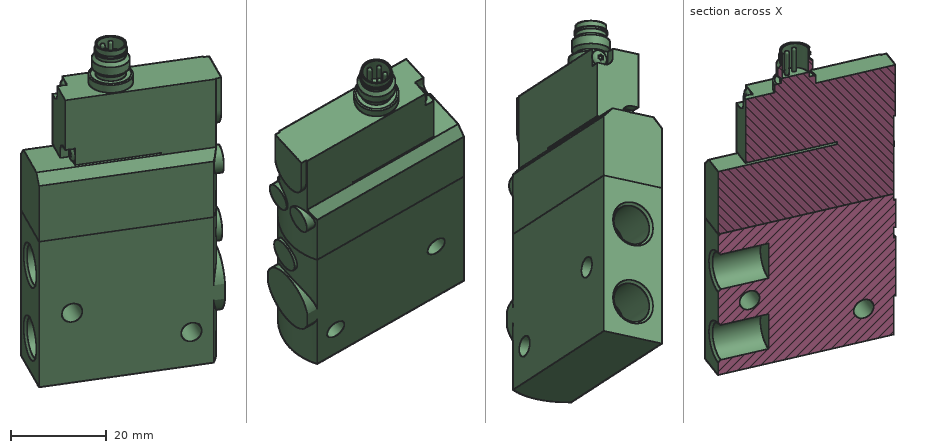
import cadquery as cq
import math

WIDTH = 14.0
SIDE_DEPTH = 37.9
REAR_DEPTH = 39.9
OVERALL_DEPTH = 40.4
PAD_DEPTH = 40.2
BOSS_ROOT = 37.65
OVERALL_HEIGHT = 76.2

BLOCK_HEIGHT = 35.05
PORT_HEIGHTS = (8.0, 25.5)
PORT_DIAMETER = 8.5
PORT_MOUTH_DIAMETER = 9.7
PORT_DEPTH = 11.4
MOUNT_DIAMETER = 4.4
MOUNT_CENTRES = ((7.2, 16.85), (33.1, 8.15))
LARGE_BOSS_DIAMETER = 14.5
LARGE_BOSS_HEIGHT = 16.85
SMALL_BOSS_DIAMETER = 7.3
SMALL_BOSS_X = 1.2
SMALL_BOSS_HEIGHT = 30.0

SHOULDER_TOP = 50.6
HEAD_WIDTH = 9.9
HEAD_TOP = 67.0
HEAD_FRONT = 6.25
SHOULDER_BEVEL_HEIGHT = 2.1
GAP_HEIGHT = 0.45
GAP_END = 27.05
PAD_WIDTH = 9.4
PAD_CENTRE_HEIGHT = 59.0
STUD_DIAMETER = 6.0
STUD_SPACING = 7.25
STUD_HEIGHT = 46.95

SCREW_DIAMETER = 3.6
SCREW_FLAT_DIAMETER = 1.7
SCREW_HEAD_HEIGHT = 0.7
SCREW_DOME_BULGE = 0.15
RECESS_DIAMETER = 4.1
RECESS_DEPTH = 2.1
SCREW_OFFSET_X = 3.3
SCREW_OFFSET_Z = 6.1
STAR_POINTS = 6
STAR_OUTER_RADIUS = 0.7
STAR_INNER_RADIUS = 0.45
STAR_DEPTH = 0.4

PLUG_Y = 17.5
FLANGE_DIAMETER = 9.4
FLANGE_TOP_DIAMETER = 8.5
FLANGE_TOP = 68.95
FLANGE_BEVEL_HEIGHT = 0.15
NECK_DIAMETER = 6.5
COLLAR_DIAMETER = 8.0
COLLAR_CONE_BOTTOM = 69.9
COLLAR_BOTTOM = 70.7
COLLAR_TOP = 72.7
COLLAR_CONE_TOP = 73.45
RIB_DIAMETER = 6.9
RIB_BOTTOM = 74.4
RIB_TOP = 74.9
SOCKET_DIAMETER = 5.8
SOCKET_MOUTH_DIAMETER = 6.0
SOCKET_DEPTH = 6.1
PIN_DIAMETER = 1.0
PIN_TIP_RADIUS = 0.45
PIN_TOP = 75.75
PIN_CENTRES = ((-1.75, 0.45), (1.75, 0.45), (-1.1, -1.45), (1.1, -1.45))


def bowed_prism(bottom, top):
    """Full-width prism with a rear face that bows outward."""
    return (
        cq.Workplane("XY", origin=(0, 0, bottom))
        .moveTo(-WIDTH / 2, 0)
        .lineTo(WIDTH / 2, 0)
        .lineTo(WIDTH / 2, SIDE_DEPTH)
        .threePointArc((0, REAR_DEPTH), (-WIDTH / 2, SIDE_DEPTH))
        .close()
        .extrude(top - bottom)
    )


def box(x_range, y_range, z_range):
    """Box between the given limits on each axis."""
    sizes = [high - low for low, high in (x_range, y_range, z_range)]
    corner = (x_range[0], y_range[0], z_range[0])
    return cq.Workplane("XY", origin=corner).box(*sizes, centered=False)


def y_cylinder(x, z, diameter, start, end):
    """Cylinder along Y."""
    return cq.Workplane("XZ", origin=(x, start, z)).circle(diameter / 2).extrude(start - end)


def z_cylinder(x, y, diameter, bottom, top):
    """Cylinder along Z."""
    return cq.Workplane("XY", origin=(x, y, bottom)).circle(diameter / 2).extrude(top - bottom)


def port(height):
    """Blind port from the front face with a countersunk mouth."""
    mouth_radius = PORT_MOUTH_DIAMETER / 2
    bore_radius = PORT_DIAMETER / 2
    return (
        cq.Workplane("XY", origin=(0, 0, height))
        .moveTo(0, 0)
        .lineTo(mouth_radius, 0)
        .lineTo(bore_radius, mouth_radius - bore_radius)
        .lineTo(bore_radius, PORT_DEPTH)
        .lineTo(0, PORT_DEPTH)
        .close()
        .revolve(360, (0, 0, 0), (0, 1, 0))
    )


def make_port_block():
    """Lower block with ports, cross holes and rear bosses."""
    block = bowed_prism(0, BLOCK_HEIGHT)
    sides = box((-WIDTH / 2, WIDTH / 2), (0, OVERALL_DEPTH), (0, BLOCK_HEIGHT))
    bosses = (
        (LARGE_BOSS_DIAMETER, 0, LARGE_BOSS_HEIGHT),
        (SMALL_BOSS_DIAMETER, SMALL_BOSS_X, SMALL_BOSS_HEIGHT),
    )
    for diameter, x, height in bosses:
        boss = y_cylinder(x, height, diameter, BOSS_ROOT, OVERALL_DEPTH)
        block = block.union(boss.intersect(sides))
    for height in PORT_HEIGHTS:
        block = block.cut(port(height))
    mounts = (
        cq.Workplane("YZ")
        .pushPoints(MOUNT_CENTRES)
        .circle(MOUNT_DIAMETER / 2)
        .extrude(WIDTH / 2, both=True)
    )
    return block.cut(mounts)


def housing_shell():
    """Bevelled shoulder and narrower head, with a gap under the front of the head."""
    bevel_bottom = SHOULDER_TOP - SHOULDER_BEVEL_HEIGHT
    half_section = [
        (0, BLOCK_HEIGHT),
        (WIDTH / 2, BLOCK_HEIGHT),
        (WIDTH / 2, bevel_bottom),
        (HEAD_WIDTH / 2, SHOULDER_TOP),
        (HEAD_WIDTH / 2, HEAD_TOP),
        (0, HEAD_TOP),
    ]
    half = cq.Workplane("XZ").polyline(half_section).close().extrude(-OVERALL_DEPTH)
    section = half.mirror("YZ", union=True)
    shell = bowed_prism(BLOCK_HEIGHT, HEAD_TOP).intersect(section)
    full_width = (-WIDTH / 2, WIDTH / 2)
    shell = shell.cut(box(full_width, (0, HEAD_FRONT), (SHOULDER_TOP, HEAD_TOP)))
    return shell.cut(box(full_width, (0, GAP_END), (SHOULDER_TOP, SHOULDER_TOP + GAP_HEIGHT)))


def rear_pad():
    """Round-bottomed pad on the rear of the head."""
    upper = box((-PAD_WIDTH / 2, PAD_WIDTH / 2), (BOSS_ROOT, PAD_DEPTH), (PAD_CENTRE_HEIGHT, HEAD_TOP))
    return upper.union(y_cylinder(0, PAD_CENTRE_HEIGHT, PAD_WIDTH, BOSS_ROOT, PAD_DEPTH))


def corner_recess():
    """Round recess for a screw, centred on the origin and open toward -X and +Z."""
    radius = RECESS_DIAMETER / 2
    recess = y_cylinder(0, 0, RECESS_DIAMETER, 0, RECESS_DEPTH)
    recess = recess.union(box((-radius, 0), (0, RECESS_DEPTH), (-radius, radius)))
    return recess.union(box((-radius, radius), (0, RECESS_DEPTH), (0, radius)))


def screw_head():
    """Domed head with a star socket, centred on the origin and standing on the recess floor."""
    base_radius = SCREW_DIAMETER / 2
    flat_radius = SCREW_FLAT_DIAMETER / 2
    crown = RECESS_DEPTH - SCREW_HEAD_HEIGHT
    head = (
        cq.Workplane("XY")
        .moveTo(0, RECESS_DEPTH)
        .lineTo(base_radius, RECESS_DEPTH)
        .sagittaArc((flat_radius, crown), SCREW_DOME_BULGE)
        .lineTo(0, crown)
        .close()
        .revolve(360, (0, 0, 0), (0, 1, 0))
    )
    star = []
    for step in range(2 * STAR_POINTS):
        radius = STAR_INNER_RADIUS if step % 2 else STAR_OUTER_RADIUS
        angle = math.pi * (step / STAR_POINTS + 0.5)
        star.append((radius * math.cos(angle), radius * math.sin(angle)))
    socket = cq.Workplane("XZ", origin=(0, crown, 0)).polyline(star).close().extrude(-STAR_DEPTH)
    return head.cut(socket)


def place_in_corner(shape, turn):
    """Move a shape from the origin to a screw centre, turned about the middle of the head's front."""
    middle_height = (SHOULDER_TOP + GAP_HEIGHT + HEAD_TOP) / 2
    return (
        shape.translate((-SCREW_OFFSET_X, HEAD_FRONT, SCREW_OFFSET_Z))
        .rotate((0, 0, 0), (0, 1, 0), turn)
        .translate((0, 0, middle_height))
    )


def plug():
    """Round plug with a flange, a collar, a rib, a socket and contact pins."""
    flange = FLANGE_DIAMETER / 2
    neck = NECK_DIAMETER / 2
    collar = COLLAR_DIAMETER / 2
    rib = RIB_DIAMETER / 2
    profile = [
        (0, HEAD_TOP),
        (flange, HEAD_TOP),
        (flange, FLANGE_TOP - FLANGE_BEVEL_HEIGHT),
        (FLANGE_TOP_DIAMETER / 2, FLANGE_TOP),
        (neck, FLANGE_TOP),
        (neck, COLLAR_CONE_BOTTOM),
        (collar, COLLAR_BOTTOM),
        (collar, COLLAR_TOP),
        (neck, COLLAR_CONE_TOP),
        (neck, RIB_BOTTOM),
        (rib, RIB_BOTTOM),
        (rib, RIB_TOP),
        (neck, RIB_TOP),
        (neck, OVERALL_HEIGHT),
        (0, OVERALL_HEIGHT),
    ]
    body = (
        cq.Workplane("XZ", origin=(0, PLUG_Y, 0))
        .polyline(profile)
        .close()
        .revolve(360, (0, 0, 0), (0, 1, 0))
    )
    floor = OVERALL_HEIGHT - SOCKET_DEPTH
    body = body.cut(z_cylinder(0, PLUG_Y, SOCKET_DIAMETER, floor, OVERALL_HEIGHT))
    mouth_bevel = (SOCKET_MOUTH_DIAMETER - SOCKET_DIAMETER) / 2
    mouth_edge = body.faces(">Z").edges(cq.selectors.RadiusNthSelector(0))
    body = mouth_edge.chamfer(mouth_bevel)
    for x, y in PIN_CENTRES:
        pin = z_cylinder(x, PLUG_Y + y, PIN_DIAMETER, floor, PIN_TOP)
        pin = pin.faces(">Z").edges().fillet(PIN_TIP_RADIUS)
        body = body.union(pin)
    return body


def make_housing():
    """Upper body with its rear studs and pad, corner screws and plug."""
    housing = housing_shell().union(rear_pad())
    for x in (-STUD_SPACING / 2, STUD_SPACING / 2):
        housing = housing.union(y_cylinder(x, STUD_HEIGHT, STUD_DIAMETER, BOSS_ROOT, PAD_DEPTH))
    for turn in (0, 180):
        housing = housing.cut(place_in_corner(corner_recess(), turn))
        housing = housing.union(place_in_corner(screw_head(), turn))
    return housing.union(plug())


port_block = make_port_block()
housing = make_housing()
result = cq.Compound.makeCompound([port_block.val(), housing.val()])